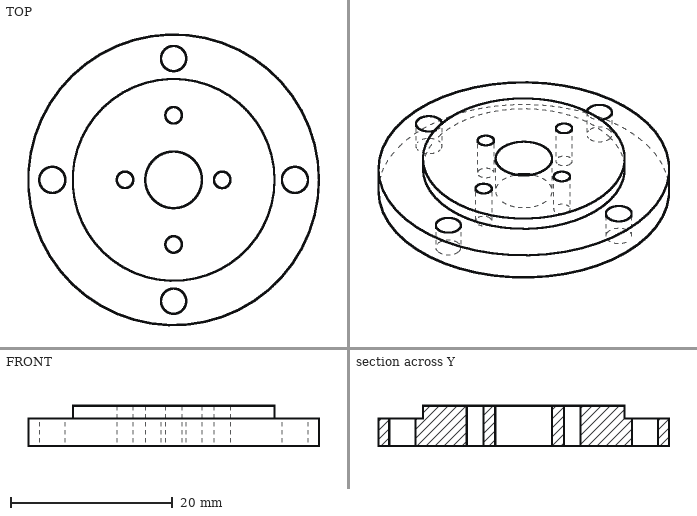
import cadquery as cq

flange_diameter = 36.0
boss_diameter = 25.0
total_height = 5.0
flange_height = 3.42
boss_height = total_height - flange_height

bore_diameter = 7.0
inner_hole_diameter = 2.0
inner_hole_x = 6.0
inner_hole_y = 8.0
flange_hole_radius = 15.0
flange_hole_diameter_on_x = 3.2
flange_hole_diameter_on_y = 3.1


def through_holes(diameter, centers):
    """Vertical cutters that pass through the whole height."""
    return cq.Workplane("XY").pushPoints(centers).circle(diameter / 2).extrude(total_height)


def pair_on_x(distance):
    return [(-distance, 0), (distance, 0)]


def pair_on_y(distance):
    return [(0, -distance), (0, distance)]


flange = cq.Workplane("XY").circle(flange_diameter / 2).extrude(flange_height)
body = flange.faces(">Z").workplane().circle(boss_diameter / 2).extrude(boss_height)

body = body.cut(through_holes(bore_diameter, [(0, 0)]))
inner_centers = pair_on_x(inner_hole_x) + pair_on_y(inner_hole_y)
body = body.cut(through_holes(inner_hole_diameter, inner_centers))

body = body.cut(through_holes(flange_hole_diameter_on_x, pair_on_x(flange_hole_radius)))
body = body.cut(through_holes(flange_hole_diameter_on_y, pair_on_y(flange_hole_radius)))

result = body